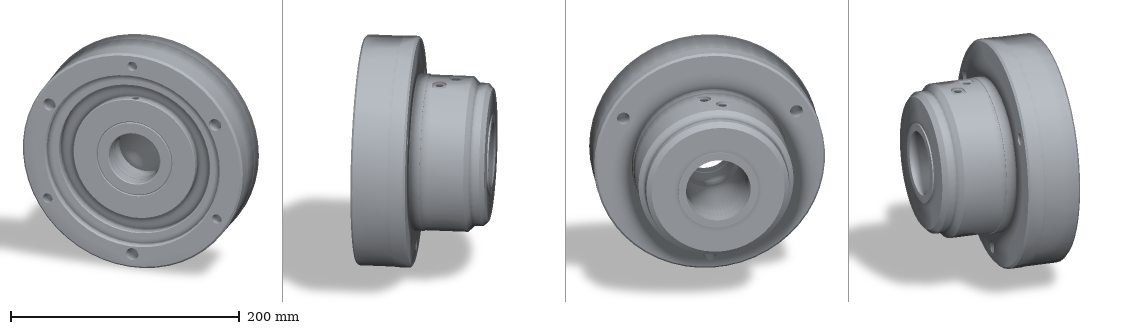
import cadquery as cq
import math

flange_radius = 101.5
flange_front_radius = 101.0
flange_split = 34.1
flange_length = 48.0
flange_chamfer = 1.8
total_length = 114.7

neck_radius = 67.5
collar_radius = 68.8
collar_start = 49.1
collar_end = 57.7
body_radius = 68.2
cap_radius = 62.7
cap_start = 101.5
cap_end = 113.5
cap_chamfer = 4.3
end_boss_radius = 35.3

recess_radius = 79.4
recess_depth = 5.5
recess_chamfer = 1.5
recess_groove_start = 3.5
recess_groove_width = 1.2
pocket_outer_radius = 69.2
pocket_inner_radius = 56.0
pocket_depth = 14.5
edge_chamfer = 0.6

groove_outer_radius = 35.1
groove_inner_radius = 33.5

bore_radius = 23.3
bore_chamfer = 0.8
bore_groove_start = 16.0
bore_groove_width = 2.5
bore_step = 33.3
bore_step_radius = 23.8
rear_bore_start = 36.7
rear_bore_radius = 28.5

through_hole_diameter = 11.2
through_hole_circle = 88.0
through_hole_angles = (30, 150, 270)
blind_hole_diameter = 8.7
blind_hole_depth = 24.4
blind_hole_circle = 89.7
blind_hole_angles = (90, 210, 330)
drill_point_angle = 118

port_offset = 7.5
port_diameter = 7.1
port_depth = 16.2
port_flat_height = 66.8
port_flat_radius = 6.0
left_port_y = 82.2
right_port_y = 69.0

disc_hole_diameter = 6.0
disc_hole_y = 9.5
disc_hole_depth = 16.2


def drill(diameter, depth, point, direction):
    """Cylinder with a conical drill point, starting at point and going along direction."""
    radius = diameter / 2
    tip = radius / math.tan(math.radians(drill_point_angle / 2))
    origin = cq.Vector(*point)
    axis = cq.Vector(*direction)
    barrel = cq.Solid.makeCylinder(radius, depth, origin, axis)
    cone = cq.Solid.makeCone(radius, 0, tip, origin + axis * depth, axis)
    return cq.Workplane(barrel.fuse(cone))


def turned_body():
    """Half section in the XY plane, turned about the Y axis."""
    body_chamfer = body_radius - cap_radius
    groove_middle = (groove_outer_radius + groove_inner_radius) / 2
    groove_depth = (groove_outer_radius - groove_inner_radius) / 2
    bore_groove_depth = bore_groove_width / 2
    section = [
        (flange_front_radius, flange_chamfer),
        (flange_front_radius - flange_chamfer, 0),
        (recess_radius + recess_chamfer, 0),
        (recess_radius, recess_chamfer),
        (recess_radius, recess_groove_start),
        (recess_radius + recess_groove_width / 2, recess_groove_start + recess_groove_width / 2),
        (recess_radius, recess_groove_start + recess_groove_width),
        (recess_radius, recess_depth),
        (pocket_outer_radius + edge_chamfer, recess_depth),
        (pocket_outer_radius, recess_depth + edge_chamfer),
        (pocket_outer_radius, pocket_depth),
        (pocket_inner_radius, pocket_depth),
        (pocket_inner_radius, recess_depth + edge_chamfer),
        (pocket_inner_radius - edge_chamfer, recess_depth),
        (groove_outer_radius, recess_depth),
        (groove_middle, recess_depth + groove_depth),
        (groove_inner_radius, recess_depth),
        (bore_radius + bore_chamfer, recess_depth),
        (bore_radius, recess_depth + bore_chamfer),
        (bore_radius, bore_groove_start),
        (bore_radius + bore_groove_depth, bore_groove_start + bore_groove_depth),
        (bore_radius, bore_groove_start + bore_groove_width),
        (bore_radius, bore_step),
        (bore_step_radius, bore_step),
        (bore_step_radius, rear_bore_start),
        (rear_bore_radius, rear_bore_start),
        (rear_bore_radius, total_length),
        (end_boss_radius, total_length),
        (end_boss_radius, cap_end),
        (cap_radius - cap_chamfer, cap_end),
        (cap_radius, cap_end - cap_chamfer),
        (cap_radius, cap_start),
        (body_radius, cap_start - body_chamfer),
        (body_radius, collar_end),
        (collar_radius, collar_end),
        (collar_radius, collar_start),
        (neck_radius, collar_start),
        (neck_radius, flange_length),
        (flange_radius - flange_chamfer, flange_length),
        (flange_radius, flange_length - flange_chamfer),
        (flange_radius, flange_split),
        (flange_front_radius, flange_split),
    ]
    return cq.Workplane("XY").polyline(section).close().revolve(360, (0, 0, 0), (0, 1, 0))


def flange_hole(diameter, depth, circle_radius, angle):
    """Drill entering the front face; a full-depth drill leaves its point behind the flange."""
    x = circle_radius * math.cos(math.radians(angle))
    z = circle_radius * math.sin(math.radians(angle))
    return drill(diameter, depth, (x, 0, z), (0, 1, 0))


def port(side, y):
    """Drilled port in a flat with a round end; side is -1 for left, 1 for right."""
    x = side * port_offset
    flat_height = body_radius - port_flat_height
    end = (
        cq.Workplane("XY", origin=(x, y, port_flat_height))
        .circle(port_flat_radius)
        .extrude(flat_height)
    )
    run = (
        cq.Workplane("XY", origin=(x + side * port_flat_radius, y, port_flat_height))
        .rect(2 * port_flat_radius, 2 * port_flat_radius)
        .extrude(flat_height)
    )
    hole = drill(port_diameter, port_depth, (x, y, port_flat_height), (0, 0, -1))
    return end.union(run).union(hole)


result = turned_body()

for angle in through_hole_angles:
    result = result.cut(flange_hole(through_hole_diameter, flange_length, through_hole_circle, angle))
for angle in blind_hole_angles:
    result = result.cut(flange_hole(blind_hole_diameter, blind_hole_depth, blind_hole_circle, angle))

result = result.cut(port(-1, left_port_y))
result = result.cut(port(1, right_port_y))
disc_hole = drill(disc_hole_diameter, disc_hole_depth, (0, disc_hole_y, pocket_inner_radius), (0, 0, -1))
result = result.cut(disc_hole)